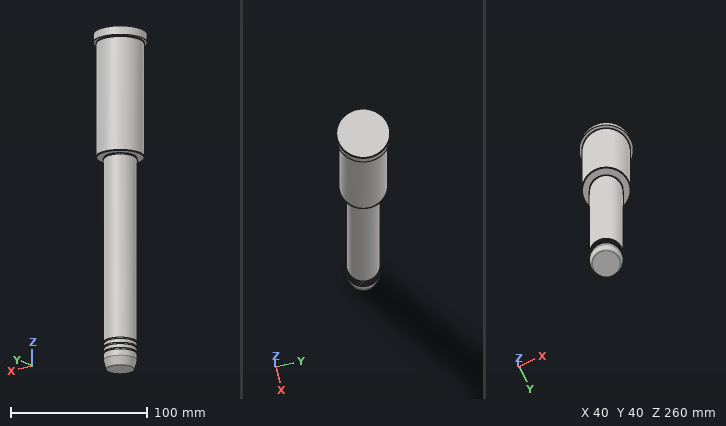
import cadquery as cq
import math

total_length = 260.0

head_diameter = 40.0
head_height = 7.0
head_chamfer = 0.5

shoulder_diameter = 36.0
shoulder_end_depth = 96.0
shoulder_chamfer = 0.5

shaft_diameter = 25.0

relief_width = 1.0
relief_depth = 0.5

groove_count = 3
groove_pitch = 4.0
groove_radius = 0.5
lowest_groove_height = 12.5

lead_in_length = 7.0
lead_in_angle = 15.0
tip_fillet = 0.5

head_underside = total_length - head_height
shoulder_underside = total_length - shoulder_end_depth
shoulder_radius = shoulder_diameter / 2
shaft_radius = shaft_diameter / 2


def cylinder(diameter, bottom, top):
    """Solid cylinder on the Z axis between two heights."""
    return cq.Workplane("XY").workplane(offset=bottom).circle(diameter / 2).extrude(top - bottom)


def revolve_about_z(profile):
    """Full turn about Z of a closed profile whose points are (radius, height)."""
    return profile.revolve(360, (0, 0, 0), (0, 1, 0))


def make_head():
    head = cylinder(head_diameter, head_underside, total_length)
    return head.faces(">Z").edges().chamfer(head_chamfer)


def cut_shoulder_relief(shoulder):
    """Relief under the head; its lower side slopes out at 45 degrees."""
    relief_bottom = head_underside - relief_width
    floor_radius = shoulder_radius - relief_depth
    profile = (
        cq.Workplane("XZ")
        .polyline([
            (shoulder_radius, relief_bottom),
            (floor_radius, relief_bottom + relief_depth),
            (floor_radius, head_underside),
            (shoulder_radius, head_underside),
        ])
        .close()
    )
    return shoulder.cut(revolve_about_z(profile))


def make_shoulder():
    shoulder = cylinder(shoulder_diameter, shoulder_underside, head_underside)
    shoulder = shoulder.faces("<Z").edges().chamfer(shoulder_chamfer)
    return cut_shoulder_relief(shoulder)


def cut_shaft_relief(shaft):
    """Square relief under the shoulder."""
    relief_bottom = shoulder_underside - relief_width
    outer = cylinder(shaft_diameter, relief_bottom, shoulder_underside)
    core = cylinder(shaft_diameter - 2 * relief_depth, relief_bottom, shoulder_underside)
    return shaft.cut(outer.cut(core))


def cut_lubrication_grooves(shaft):
    for index in range(groove_count):
        groove_height = lowest_groove_height + index * groove_pitch
        profile = cq.Workplane("XZ").center(shaft_radius, groove_height).circle(groove_radius)
        groove = profile.revolve(360, (-shaft_radius, 0, 0), (-shaft_radius, 1, 0))
        shaft = shaft.cut(groove)
    return shaft


def make_shaft():
    tip_radius = shaft_radius - lead_in_length * math.tan(math.radians(lead_in_angle))
    profile = (
        cq.Workplane("XZ")
        .polyline([
            (0, 0),
            (tip_radius, 0),
            (shaft_radius, lead_in_length),
            (shaft_radius, shoulder_underside),
            (0, shoulder_underside),
        ])
        .close()
    )
    shaft = revolve_about_z(profile)
    shaft = shaft.faces("<Z").edges().fillet(tip_fillet)
    shaft = cut_shaft_relief(shaft)
    return cut_lubrication_grooves(shaft)


result = make_head().union(make_shoulder()).union(make_shaft())